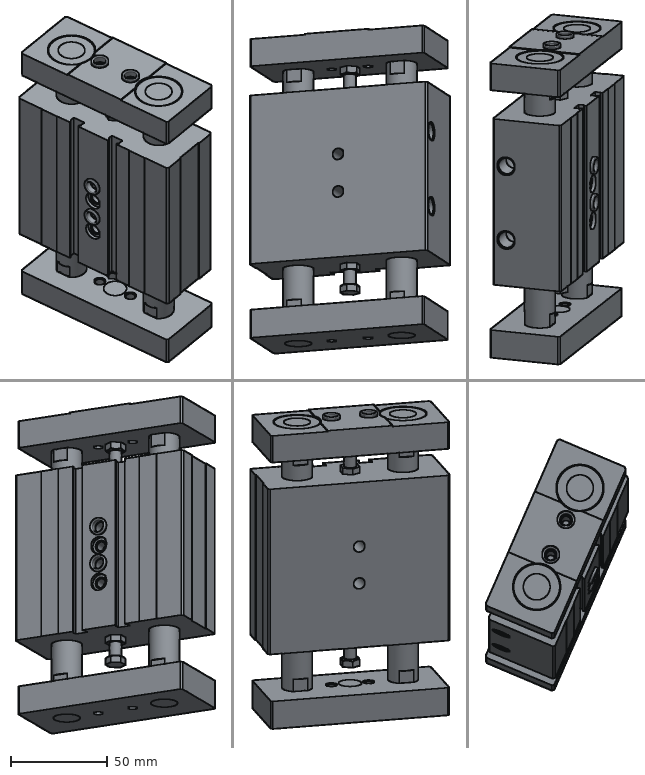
import cadquery as cq
import math

overall_height = 161.9
plate_thickness = 15.0
housing_bottom = 40.0
housing_height = 90.0
housing_top = housing_bottom + housing_height
housing_middle = housing_bottom + housing_height / 2
upper_plate_bottom = housing_top + plate_thickness

housing_width = 98.0
housing_front = -19.0
housing_back = 18.8
edge_chamfer = 1.0
rib_height = 0.2
rib_inner_x = 23.6
rib_outer_x = 33.7
center_rib_half_width = 9.7
front_face = housing_front - rib_height
housing_depth = housing_back - front_face

slot_width = 5.5
slot_center_x = center_rib_half_width + slot_width / 2
slot_lip = 1.0
slot_depth = 4.4
slot_inner_width = 6.8

label_recess_width = 15.7
label_recess_depth = 0.5

port_diameter = 8.5
port_mouth_diameter = 9.9
port_depth = 12.0
port_y = 11.3
port_spacing = 40.0
port_offset_z = port_spacing / 2
drill_tip_angle = 118.0

rod_diameter = 16.0
rod_spacing = 57.0
rod_x_positions = (-rod_spacing / 2, rod_spacing / 2)
rod_flat_distance = 14.0
rod_flat_height = 6.8
journal_diameter = 14.0
piston_diameter = 32.0
piston_stroke = 10.0
piston_port_overlap = 1.6
piston_bottom = housing_middle - port_offset_z + piston_port_overlap
piston_top = housing_middle + port_offset_z - piston_port_overlap - piston_stroke
piston_length = piston_top - piston_bottom

plate_width = 96.0
plate_back = 20.9
plate_depth = 38.9
plate_center_y = plate_back - plate_depth / 2
pad_width = 35.0
pad_height = 0.5
end_recess_diameter = 24.0
end_recess_chamfer = 0.5
end_recess_depth = 0.2
strike_disc_diameter = 12.0
strike_disc_thickness = 4.9

sleeve_diameter = 9.0
sleeve_bore = 6.5
sleeve_projection = 1.8
sleeve_seat_depth = 2.1
sleeve_hole_diameter = 6.0
core_hole_diameter = 4.9
core_mouth_diameter = 6.0
core_hole_depth = 9.7
sleeve_pitch = 10.0

hex_corner_diameter = 10.5
hex_chamfer_height = 0.8
hex_chamfer_inset = 1.3
stop_nut_height = 3.2
stop_shank_diameter = 6.5
stop_head_height = 4.0
stop_length = upper_plate_bottom - housing_top

pad_surface = overall_height - sleeve_projection
upper_plate_top = pad_surface - pad_height
end_recess_floor = upper_plate_top - end_recess_depth

sleeve_z_positions = (housing_middle + sleeve_pitch, housing_middle - sleeve_pitch)
blind_z_positions = (housing_middle, housing_middle - 2 * sleeve_pitch)
plate_hole_x_positions = (-sleeve_pitch, sleeve_pitch)


def cylinder(diameter, height, base, direction):
    """Cylinder that starts at the point base and runs along direction."""
    solid = cq.Solid.makeCylinder(diameter / 2, height, cq.Vector(*base), cq.Vector(*direction))
    return cq.Workplane(obj=solid)


def drill(diameter, depth, base, direction):
    """Blind drilled hole: a cylinder that ends in a drill point."""
    radius = diameter / 2
    tip = radius / math.tan(math.radians(drill_tip_angle / 2))
    start = cq.Vector(*base)
    axis = cq.Vector(*direction)
    cone = cq.Solid.makeCone(radius, 0, tip, start + axis * depth, axis)
    return cylinder(diameter, depth, base, direction).union(cq.Workplane(obj=cone))


def flare(mouth_diameter, diameter, base, direction):
    """45 degree mouth that narrows from mouth_diameter to diameter."""
    depth = (mouth_diameter - diameter) / 2
    start = cq.Vector(*base)
    axis = cq.Vector(*direction)
    solid = cq.Solid.makeCone(mouth_diameter / 2, diameter / 2, depth, start, axis)
    return cq.Workplane(obj=solid)


def box(x_min, x_max, y_min, y_max, z_min, z_max):
    """Box between the given limits."""
    return cq.Workplane("XY").box(
        x_max - x_min, y_max - y_min, z_max - z_min, centered=False
    ).translate((x_min, y_min, z_min))


def stop_screw():
    """Hex lock nut, shank and hex head, standing on Z = 0 with the head on top."""
    hexagon = cq.Workplane("XY").polygon(6, hex_corner_diameter).extrude(stop_length)
    hexagon = hexagon.rotate((0, 0, 0), (0, 0, 1), 30)
    head_bottom = stop_length - stop_head_height
    nut = cq.Workplane("XY").circle(hex_corner_diameter / 2).extrude(stop_nut_height)
    head = (
        cq.Workplane("XY", origin=(0, 0, head_bottom))
        .circle(hex_corner_diameter / 2)
        .extrude(stop_head_height)
        .faces("<Z")
        .chamfer(hex_chamfer_height, hex_chamfer_inset)
    )
    shank = cq.Workplane("XY").circle(stop_shank_diameter / 2).extrude(stop_length)
    return shank.union(hexagon.intersect(nut)).union(hexagon.intersect(head))


def profile_slot(x):
    """Slot with a flared inside over the full height of the front face."""
    flare_width = (slot_inner_width - slot_width) / 2
    lip_back = housing_front + slot_lip
    floor = housing_front + slot_depth
    half_mouth = slot_width / 2
    half_inner = slot_inner_width / 2
    return (
        cq.Workplane("XY", origin=(x, 0, housing_bottom))
        .moveTo(-half_mouth, front_face)
        .lineTo(-half_mouth, lip_back)
        .lineTo(-half_inner, lip_back + flare_width)
        .lineTo(-half_inner, floor)
        .lineTo(half_inner, floor)
        .lineTo(half_inner, lip_back + flare_width)
        .lineTo(half_mouth, lip_back)
        .lineTo(half_mouth, front_face)
        .close()
        .extrude(housing_height)
    )


def make_housing():
    half_width = housing_width / 2
    body = box(-half_width, half_width, housing_front, housing_back, housing_bottom, housing_top)
    body = body.edges("|Z").chamfer(edge_chamfer)

    for left, right in (
        (-rib_outer_x, -rib_inner_x),
        (-center_rib_half_width, center_rib_half_width),
        (rib_inner_x, rib_outer_x),
    ):
        body = body.union(box(left, right, front_face, housing_front, housing_bottom, housing_top))

    for x in (-slot_center_x, slot_center_x):
        body = body.cut(profile_slot(x))

    body = body.cut(box(half_width - label_recess_depth, half_width,
                        -label_recess_width / 2, label_recess_width / 2, housing_bottom, housing_top))

    for x in rod_x_positions:
        body = body.cut(cylinder(rod_diameter, housing_height, (x, 0, housing_bottom), (0, 0, 1)))
        body = body.cut(cylinder(piston_diameter, piston_length, (x, 0, piston_bottom), (0, 0, 1)))

    for z in (housing_middle - port_offset_z, housing_middle + port_offset_z):
        entry = (-half_width, port_y, z)
        body = body.cut(drill(port_diameter, port_depth, entry, (1, 0, 0)))
        body = body.cut(flare(port_mouth_diameter, port_diameter, entry, (1, 0, 0)))

    for z in sleeve_z_positions + blind_z_positions:
        body = body.cut(cylinder(sleeve_diameter, sleeve_seat_depth, (0, front_face, z), (0, 1, 0)))
    for z in sleeve_z_positions:
        body = body.cut(cylinder(sleeve_hole_diameter, housing_depth, (0, front_face, z), (0, 1, 0)))
    for z in blind_z_positions:
        seat = (0, front_face + sleeve_seat_depth, z)
        body = body.cut(flare(core_mouth_diameter, core_hole_diameter, seat, (0, 1, 0)))
        body = body.cut(drill(core_hole_diameter, core_hole_depth, (0, front_face, z), (0, 1, 0)))

    upper_stop = stop_screw().translate((0, 0, housing_top))
    lower_stop = stop_screw().mirror("XY").translate((0, 0, housing_bottom))
    return body.union(upper_stop).union(lower_stop)


def make_rod(x):
    """Rod with piston, wrench flats beside both plates and a journal inside each plate."""
    shoulder_length = upper_plate_bottom - plate_thickness
    rod = cylinder(rod_diameter, shoulder_length, (x, 0, plate_thickness), (0, 0, 1))
    radius = rod_diameter / 2
    for bottom in (plate_thickness, upper_plate_bottom - rod_flat_height):
        top = bottom + rod_flat_height
        rod = rod.cut(box(x - radius, x + radius, rod_flat_distance / 2, radius, bottom, top))
        rod = rod.cut(box(x - radius, x + radius, -radius, -rod_flat_distance / 2, bottom, top))
    rod = rod.union(cylinder(piston_diameter, piston_length, (x, 0, piston_bottom), (0, 0, 1)))
    return rod.union(cylinder(journal_diameter, end_recess_floor, (x, 0, 0), (0, 0, 1)))


def make_strike_disc():
    seat_floor = plate_thickness - strike_disc_thickness
    return cylinder(strike_disc_diameter, strike_disc_thickness, (0, 0, seat_floor), (0, 0, 1))


def plate_blank(bottom, thickness):
    """Chamfered plate with the rod journals' holes and the two screw holes through it."""
    plate = (
        cq.Workplane("XY", origin=(0, plate_center_y, bottom))
        .rect(plate_width, plate_depth)
        .extrude(thickness)
        .edges("|Z")
        .chamfer(edge_chamfer)
    )
    for x in rod_x_positions:
        plate = plate.cut(cylinder(journal_diameter, thickness, (x, 0, bottom), (0, 0, 1)))
    for x in plate_hole_x_positions:
        plate = plate.cut(cylinder(core_hole_diameter, thickness, (x, 0, bottom), (0, 0, 1)))
    return plate


def make_lower_plate():
    plate = plate_blank(0, plate_thickness).cut(make_strike_disc())
    for x in plate_hole_x_positions:
        plate = plate.cut(flare(core_mouth_diameter, core_hole_diameter, (x, 0, plate_thickness), (0, 0, -1)))
    return plate


def make_upper_plate():
    plate = plate_blank(upper_plate_bottom, pad_surface - upper_plate_bottom)
    for left, right in ((-plate_width / 2, -pad_width / 2), (pad_width / 2, plate_width / 2)):
        plate = plate.cut(box(left, right,
                              plate_back - plate_depth, plate_back, upper_plate_top, pad_surface))
    rim_diameter = end_recess_diameter + 2 * end_recess_chamfer
    for x in rod_x_positions:
        rim_slope = cq.Solid.makeCone(end_recess_diameter / 2, rim_diameter / 2, end_recess_depth,
                                      cq.Vector(x, 0, end_recess_floor), cq.Vector(0, 0, 1))
        plate = plate.cut(cq.Workplane(obj=rim_slope))
        plate = plate.cut(cylinder(rim_diameter, pad_height, (x, 0, upper_plate_top), (0, 0, 1)))
    seat_floor = pad_surface - sleeve_seat_depth
    for x in plate_hole_x_positions:
        plate = plate.cut(cylinder(sleeve_diameter, sleeve_seat_depth, (x, 0, seat_floor), (0, 0, 1)))
        plate = plate.cut(flare(core_mouth_diameter, core_hole_diameter, (x, 0, seat_floor), (0, 0, -1)))
    return plate


def make_sleeve():
    """Sleeve on the Z axis, seated below Z = 0 and projecting above it with a fully rounded end."""
    outer_radius = sleeve_diameter / 2
    inner_radius = sleeve_bore / 2
    shoulder = sleeve_projection - (outer_radius - inner_radius) / 2
    return (
        cq.Workplane("XZ")
        .moveTo(inner_radius, -sleeve_seat_depth)
        .lineTo(outer_radius, -sleeve_seat_depth)
        .lineTo(outer_radius, shoulder)
        .threePointArc(((inner_radius + outer_radius) / 2, sleeve_projection), (inner_radius, shoulder))
        .close()
        .revolve(360, (0, 0, 0), (0, 1, 0))
    )


housing = make_housing()
lower_plate = make_lower_plate()
upper_plate = make_upper_plate()
strike_disc = make_strike_disc()
rods = [make_rod(x) for x in rod_x_positions]

plate_sleeves = [make_sleeve().translate((x, 0, pad_surface)) for x in plate_hole_x_positions]
front_sleeve = make_sleeve().rotate((0, 0, 0), (1, 0, 0), 90)
housing_sleeves = [front_sleeve.translate((0, front_face, z)) for z in sleeve_z_positions]

result = cq.Compound.makeCompound([
    housing.val(),
    lower_plate.val(),
    upper_plate.val(),
    strike_disc.val(),
    *[rod.val() for rod in rods],
    *[sleeve.val() for sleeve in plate_sleeves + housing_sleeves],
])